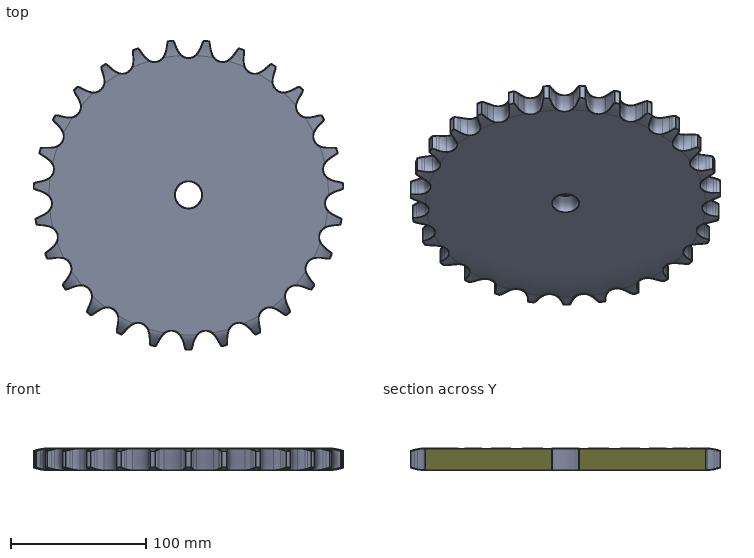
import cadquery as cq
import math

overall_length = 229.5
thickness = 16.3
bore_diameter = 20.0

tooth_count = 27
pitch_radius = 109.5
seating_radius = 8.0
seating_half_angle = 55 - 60 / tooth_count
working_radius = 20.6
working_angle = 18 - 56 / tooth_count
straight_length = 2.13
topping_radius = 13.0
tip_half_angle = 1.0

tooth_pitch_angle = 360 / tooth_count
half_pitch_angle = tooth_pitch_angle / 2

side_tooth_angle = tooth_pitch_angle / 4
tip_radius = overall_length / 2 / math.cos(math.radians(side_tooth_angle - tip_half_angle))

face_radius = 103.5
relief_depth = 2.0
relief_width = tip_radius - face_radius
relief_radius = (relief_width**2 + relief_depth**2) / (2 * relief_depth)


def polar(radius, angle):
    """Return the point at a radius and an angle in degrees."""
    return radius * math.cos(math.radians(angle)), radius * math.sin(math.radians(angle))


def offset(point, distance, angle):
    """Return the point moved a distance along an angle in degrees."""
    dx, dy = polar(distance, angle)
    return point[0] + dx, point[1] + dy


def flank_points(gap_angle, side):
    """Return seating end, working end and straight end; side is +1 counterclockwise, -1 clockwise."""
    seating_end_angle = gap_angle + 180 - side * seating_half_angle
    working_end_angle = seating_end_angle - side * working_angle
    seating_end = offset(polar(pitch_radius, gap_angle), seating_radius, seating_end_angle)
    working_centre = offset(seating_end, -working_radius, seating_end_angle)
    working_end = offset(working_centre, working_radius, working_end_angle)
    straight_end = offset(working_end, straight_length, working_end_angle - side * 90)
    return seating_end, working_end, straight_end


def tooth_outline():
    """Draw the closed outline, gap by gap, counterclockwise."""
    first_gap_angle = -90 + half_pitch_angle
    outline = cq.Workplane("XY").moveTo(*polar(tip_radius, -90 + tip_half_angle))
    for index in range(tooth_count):
        gap_angle = first_gap_angle + index * tooth_pitch_angle
        next_tooth_angle = gap_angle + half_pitch_angle
        entry_seat, entry_working, entry_straight = flank_points(gap_angle, -1)
        exit_seat, exit_working, exit_straight = flank_points(gap_angle, 1)
        outline = (
            outline
            .radiusArc(entry_straight, -topping_radius)
            .lineTo(*entry_working)
            .radiusArc(entry_seat, working_radius)
            .radiusArc(exit_seat, seating_radius)
            .radiusArc(exit_working, working_radius)
            .lineTo(*exit_straight)
            .radiusArc(polar(tip_radius, next_tooth_angle - tip_half_angle), -topping_radius)
            .radiusArc(polar(tip_radius, next_tooth_angle + tip_half_angle), -tip_radius)
        )
    return outline.close()


def turned_blank():
    """Revolve a disc with the bore through it and both rim edges rounded away."""
    half_thickness = thickness / 2
    half_rim = half_thickness - relief_depth
    return (
        cq.Workplane("XZ")
        .moveTo(bore_diameter / 2, -half_thickness)
        .lineTo(face_radius, -half_thickness)
        .radiusArc((tip_radius, -half_rim), -relief_radius)
        .lineTo(tip_radius, half_rim)
        .radiusArc((face_radius, half_thickness), -relief_radius)
        .lineTo(bore_diameter / 2, half_thickness)
        .close()
        .revolve(360, (0, 0, 0), (0, 1, 0))
    )


toothed_plate = tooth_outline().extrude(thickness / 2, both=True)
result = toothed_plate.intersect(turned_blank())